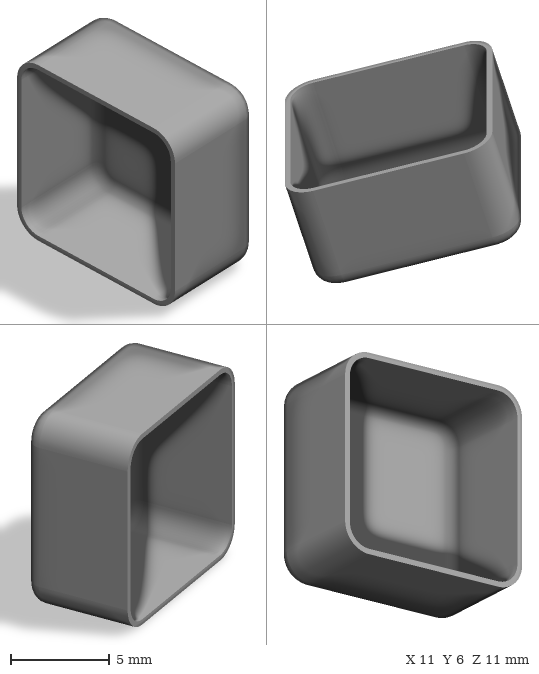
import cadquery as cq

side = 11.0
depth = 6.0
wall = 0.3
corner_radius = 1.5
end_radius = 0.8

inner_side = side - 2 * wall
inner_depth = depth - wall
inner_corner_radius = corner_radius - wall
inner_end_radius = end_radius - wall


def rounded_block(width, length, edge_radius, closed_end_radius):
    """Square block from the open face at Y = 0 to a rounded end at Y = length."""
    block = cq.Workplane("XZ").rect(width, width).extrude(-length)
    block = block.edges("|Y").fillet(edge_radius)
    return block.faces(">Y").edges().fillet(closed_end_radius)


outer = rounded_block(side, depth, corner_radius, end_radius)
cavity = rounded_block(inner_side, inner_depth, inner_corner_radius, inner_end_radius)

result = outer.cut(cavity)